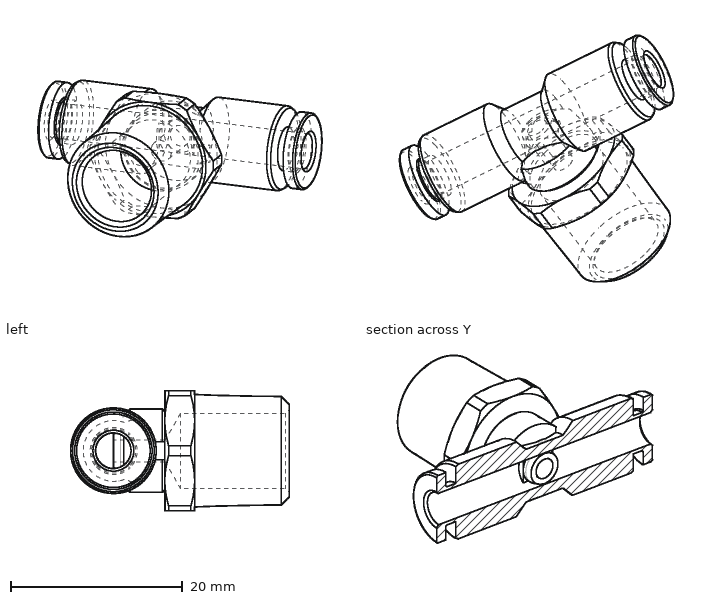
import cadquery as cq
import math

half_length = 16.1
ring_radius = 4.5
ring_width = 1.42
ring_chamfer = 0.23
neck_radius = 2.58
neck_flare = 0.15
socket_radius = 5.0
socket_end = 13.25
socket_bevel_length = 0.42
socket_bevel_depth = 0.23
socket_inner_end = 4.2
waist_radius = 3.55
tube_bore_radius = 2.05
tube_bore_chamfer = 0.32

collar_radius = 4.85
collar_top = 1.95
collar_bevel = 0.3
web_thickness = 2.05

hex_near = 6.0
hex_height = 3.48
hex_across_flats = 14.0
hex_corner_radius = 7.75
hex_bevel_angle = 30.0
hex_sides = 6

branch_end = 20.5
thread_base_radius = 6.57
thread_tip_radius = 6.35
thread_chamfer = 0.95
thread_bore_radius = 4.35
thread_bore_chamfer = 0.5
flow_radius = 1.25
bore_cone_angle = 60.0

nose_tip_radius = 2.0
nose_radius = 2.2
nose_taper_end = 0.8
nose_seat = 1.22

hex_far = hex_near + hex_height
hex_half_sector = 180 / hex_sides
waist_end = socket_inner_end - (socket_radius - waist_radius)
thread_end = branch_end - thread_chamfer


def turn_about_x(profile):
    """Revolve (x, radius) points about the X axis."""
    return cq.Workplane("XY").polyline(profile).close().revolve(360, (0, 0, 0), (1, 0, 0))


def turn_about_y(profile):
    """Revolve (radius, distance) points about the Y axis, distance running toward -Y."""
    points = [(radius, -distance) for radius, distance in profile]
    return cq.Workplane("XY").polyline(points).close().revolve(360, (0, 0, 0), (0, 1, 0))


def make_half_run():
    """One side of the run: waist, socket, neck and release ring."""
    ring_inner = half_length - ring_width
    return turn_about_x([
        (0, 0),
        (0, waist_radius),
        (waist_end, waist_radius),
        (socket_inner_end, socket_radius),
        (socket_end - socket_bevel_length, socket_radius),
        (socket_end, socket_radius - socket_bevel_depth),
        (socket_end, neck_radius),
        (ring_inner - neck_flare, neck_radius),
        (ring_inner, neck_radius + neck_flare),
        (ring_inner, ring_radius),
        (half_length - ring_chamfer, ring_radius),
        (half_length, ring_radius - ring_chamfer),
        (half_length, 0),
    ])


def make_collar():
    """Round branch that grows by a 45 degree cone from the waist radius."""
    return turn_about_y([
        (0, 0),
        (waist_radius, 0),
        (waist_radius, collar_top - (collar_radius - waist_radius)),
        (collar_radius, collar_top),
        (collar_radius, hex_near - collar_bevel),
        (collar_radius - collar_bevel, hex_near),
        (0, hex_near),
    ])


def make_webs():
    """Thin 45 degree gussets between the sockets and the foot of the collar."""
    foot = collar_radius - collar_bevel
    reach = foot + hex_near
    outline = [(-foot, -hex_near), (foot, -hex_near), (reach, 0), (-reach, 0)]
    return cq.Workplane("XY").polyline(outline).close().extrude(web_thickness / 2, both=True)


def make_hexagon():
    """Hexagon with turned corners and 30 degree bevels on both faces."""
    flat_radius = hex_across_flats / 2
    bevel = (hex_corner_radius - flat_radius) * math.tan(math.radians(hex_bevel_angle))
    envelope = turn_about_y([
        (0, hex_near),
        (flat_radius, hex_near),
        (hex_corner_radius, hex_near + bevel),
        (hex_corner_radius, hex_far - bevel),
        (flat_radius, hex_far),
        (0, hex_far),
    ])
    corner_diameter = hex_across_flats / math.cos(math.radians(hex_half_sector))
    prism = (
        cq.Workplane("XZ", origin=(0, -hex_near, 0))
        .polygon(hex_sides, corner_diameter)
        .extrude(hex_height)
    )
    return prism.intersect(envelope)


def make_thread():
    """Tapered thread blank with a chamfered tip."""
    return turn_about_y([
        (0, hex_far),
        (thread_base_radius, hex_far),
        (thread_tip_radius, thread_end),
        (thread_tip_radius - thread_chamfer, branch_end),
        (0, branch_end),
    ])


def make_tube_bore():
    """Bore through the whole run, chamfered at both mouths."""
    chamfer_start = half_length - tube_bore_chamfer
    mouth_radius = tube_bore_radius + tube_bore_chamfer
    return turn_about_x([
        (-half_length, 0),
        (-half_length, mouth_radius),
        (-chamfer_start, tube_bore_radius),
        (chamfer_start, tube_bore_radius),
        (half_length, mouth_radius),
        (half_length, 0),
    ])


def make_nose():
    """Material left standing in the tube bore: a flat-sided seat and a tapered nose."""
    seat_depth = waist_radius - nose_seat
    seat = (
        cq.Workplane("XY")
        .box(2 * nose_radius, seat_depth, 2 * tube_bore_radius)
        .translate((0, -nose_seat - seat_depth / 2, 0))
    )
    nose = turn_about_y([
        (0, 0),
        (nose_tip_radius, 0),
        (nose_radius, nose_taper_end),
        (nose_radius, nose_seat),
        (0, nose_seat),
    ])
    return seat.union(nose)


def make_flow_bore():
    """Chamfered straight bore, conical floor and small flow hole.

    The cone starts at the hexagon face nearest the run.
    """
    cone_length = (thread_bore_radius - flow_radius) / math.tan(math.radians(bore_cone_angle))
    return turn_about_y([
        (0, 0),
        (flow_radius, 0),
        (flow_radius, hex_near),
        (thread_bore_radius, hex_near + cone_length),
        (thread_bore_radius, branch_end - thread_bore_chamfer),
        (thread_bore_radius + thread_bore_chamfer, branch_end),
        (0, branch_end),
    ])


half_run = make_half_run()
body = half_run.union(half_run.mirror("YZ"))
for piece in (make_collar(), make_webs(), make_hexagon(), make_thread()):
    body = body.union(piece)

body = body.cut(make_tube_bore())
body = body.union(make_nose())
result = body.cut(make_flow_bore())